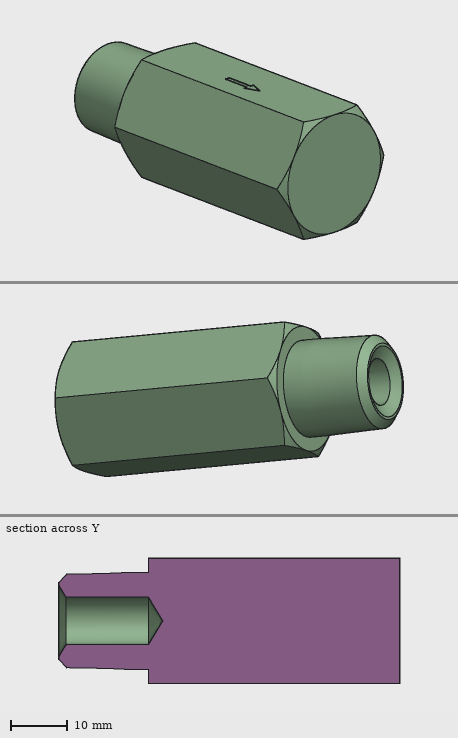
import cadquery as cq
import math

overall_length = 60.45
hex_across_flats = 22.25
hex_across_corners = hex_across_flats / math.cos(math.radians(30))
hex_chamfer_angle = 30.0

spigot_length = 15.9
neck_diameter = 17.3
neck_start = 12.3
taper_small_diameter = 16.7
nose_face_diameter = 13.6
nose_chamfer_length = 1.4

mouth_diameter = 12.65
bore_diameter = 8.35
bore_depth = spigot_length
cone_half_angle = 59.0

arrow_tail_x = 34.0
arrow_length = 8.6
arrow_head_length = 2.95
arrow_head_width = 2.3
arrow_shaft_width = 0.9
arrow_center_y = -1.45
arrow_depth = 0.1


def revolve_about_x(profile_points):
    """Turn a closed (x, radius) profile about the X axis."""
    profile = cq.Workplane("XY").polyline(profile_points).close()
    return profile.revolve(360, (0, 0, 0), (1, 0, 0))


def make_hex_body():
    """Hexagonal bar whose corners are turned down to the flats at both ends."""
    corner_radius = hex_across_corners / 2
    face_radius = hex_across_flats / 2
    chamfer_length = (corner_radius - face_radius) * math.tan(math.radians(hex_chamfer_angle))
    bar = (
        cq.Workplane("YZ")
        .workplane(offset=spigot_length)
        .polygon(6, hex_across_corners)
        .extrude(overall_length - spigot_length)
    )
    turned_envelope = revolve_about_x([
        (spigot_length, 0),
        (spigot_length, face_radius),
        (spigot_length + chamfer_length, corner_radius),
        (overall_length - chamfer_length, corner_radius),
        (overall_length, face_radius),
        (overall_length, 0),
    ])
    return bar.intersect(turned_envelope)


def make_spigot():
    return revolve_about_x([
        (0, 0),
        (0, nose_face_diameter / 2),
        (nose_chamfer_length, taper_small_diameter / 2),
        (neck_start, neck_diameter / 2),
        (spigot_length, neck_diameter / 2),
        (spigot_length, 0),
    ])


def make_bore():
    mouth_radius = mouth_diameter / 2
    bore_radius = bore_diameter / 2
    cone_slope = math.tan(math.radians(cone_half_angle))
    countersink_depth = (mouth_radius - bore_radius) / cone_slope
    point_depth = bore_radius / cone_slope
    return revolve_about_x([
        (0, 0),
        (0, mouth_radius),
        (countersink_depth, bore_radius),
        (bore_depth, bore_radius),
        (bore_depth + point_depth, 0),
    ])


def make_arrow():
    tip_x = arrow_tail_x + arrow_length
    head_x = tip_x - arrow_head_length
    half_shaft = arrow_shaft_width / 2
    half_head = arrow_head_width / 2
    return (
        cq.Workplane("XY")
        .workplane(offset=hex_across_flats / 2)
        .polyline([
            (arrow_tail_x, arrow_center_y - half_shaft),
            (head_x, arrow_center_y - half_shaft),
            (head_x, arrow_center_y - half_head),
            (tip_x, arrow_center_y),
            (head_x, arrow_center_y + half_head),
            (head_x, arrow_center_y + half_shaft),
            (arrow_tail_x, arrow_center_y + half_shaft),
        ])
        .close()
        .extrude(-arrow_depth)
    )


result = make_hex_body().union(make_spigot()).cut(make_bore()).cut(make_arrow())